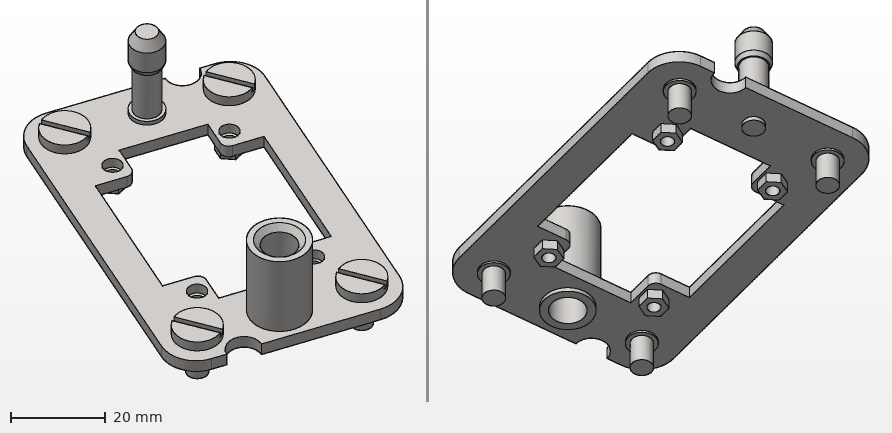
import cadquery as cq
import math

plate_length = 86.0
plate_width = 55.0
plate_thickness = 3.0
corner_radius = 8.0

window_long_length = 51.8
window_long_width = 20.5
window_short_length = 35.0
window_short_width = 39.0
window_tab_radius = 2.0

notch_diameter = 8.0
notch_offset_y = 11.95

nut_offset_x = 22.0
nut_offset_y = 13.5
nut_across_flats = 5.5
nut_across_corners = nut_across_flats / math.cos(math.radians(30))
nut_height = 2.5
nut_bore_diameter = 3.0
nut_recess_diameter = 4.5
nut_recess_depth = 2.5

column_offset_x = 34.5
tail_height = 1.0

pin_height = 22.8
pin_collar_diameter = 8.0
pin_collar_height = 1.0
pin_neck_diameter = 6.4
pin_neck_top = 13.5
pin_undercut_diameter = 7.0
pin_head_diameter = 8.0
pin_head_bottom = 14.7
pin_head_top = 20.2
pin_tip_diameter = 5.0
pin_tail_diameter = 5.0

bushing_height = 19.6
bushing_diameter = 14.0
bushing_bore_diameter = 8.2
bushing_mouth_diameter = 11.0
bushing_mouth_depth = (bushing_mouth_diameter - bushing_bore_diameter) / 2
bushing_tail_diameter = 11.95

screw_offset_y = 19.0
screw_head_diameter = 11.0
screw_head_height = 2.5
screw_slot_width = 1.2
screw_slot_depth = 1.2
screw_slot_angle = 45
screw_shoulder_diameter = 7.0
screw_shoulder_projection = 0.5
screw_shank_diameter = 5.0
screw_length_below_plate = 7.5


def mirrored_points(x, y):
    """The four points at (+-x, +-y)."""
    return [(side_x * x, side_y * y) for side_x in (-1, 1) for side_y in (-1, 1)]


def cylinder(diameter, bottom, top):
    return cq.Workplane("XY").workplane(offset=bottom).circle(diameter / 2).extrude(top - bottom)


def revolve_profile(radius_height_points):
    """Revolve an (r, z) outline around the Z axis."""
    return cq.Workplane("XZ").polyline(radius_height_points).close().revolve(360, (0, 0, 0), (0, 1, 0))


def make_window_cutter():
    long_part = cq.Workplane("XY").rect(window_long_length, window_long_width).extrude(plate_thickness)
    short_part = cq.Workplane("XY").rect(window_short_length, window_short_width).extrude(plate_thickness)
    reach_x = (window_short_length + window_long_length) / 4
    reach_y = (window_short_width + window_long_width) / 4
    tab_corners = cq.selectors.BoxSelector(
        (-reach_x, -reach_y, 0), (reach_x, reach_y, plate_thickness)
    )
    return long_part.union(short_part).edges("|Z").edges(tab_corners).fillet(window_tab_radius)


def make_plate():
    plate = cq.Workplane("XY").rect(plate_length, plate_width).extrude(plate_thickness)
    plate = plate.edges("|Z").fillet(corner_radius)
    plate = plate.cut(make_window_cutter())
    for side in (-1, 1):
        notch = cylinder(notch_diameter, 0, plate_thickness)
        plate = plate.cut(notch.translate((side * plate_length / 2, -side * notch_offset_y, 0)))
    for x, y in mirrored_points(column_offset_x, screw_offset_y):
        plate = plate.cut(cylinder(screw_shoulder_diameter, 0, plate_thickness).translate((x, y, 0)))
    return plate


def add_nuts(frame):
    nut = cq.Workplane("XY").polygon(6, nut_across_corners).extrude(-nut_height)
    bore = cylinder(nut_bore_diameter, -nut_height, plate_thickness)
    recess = cylinder(nut_recess_diameter, plate_thickness - nut_recess_depth, plate_thickness)
    for x, y in mirrored_points(nut_offset_x, nut_offset_y):
        frame = frame.union(nut.translate((x, y, 0)))
        frame = frame.cut(bore.union(recess).translate((x, y, 0)))
    return frame


def make_guide_pin():
    """Headed pin standing on the plate, with a tail through it."""
    pin = revolve_profile([
        (0, 0),
        (pin_collar_diameter / 2, 0),
        (pin_collar_diameter / 2, pin_collar_height),
        (pin_neck_diameter / 2, pin_collar_height),
        (pin_neck_diameter / 2, pin_neck_top),
        (pin_undercut_diameter / 2, pin_neck_top),
        (pin_head_diameter / 2, pin_head_bottom),
        (pin_head_diameter / 2, pin_head_top),
        (pin_tip_diameter / 2, pin_height),
        (0, pin_height),
    ])
    tail = cylinder(pin_tail_diameter, -tail_height - plate_thickness, 0)
    return pin.union(tail).translate((-column_offset_x, 0, plate_thickness))


def add_guide_bushing(frame):
    top = plate_thickness + bushing_height
    sleeve = cylinder(bushing_diameter, plate_thickness, top)
    tail = cylinder(bushing_tail_diameter, -tail_height, plate_thickness)
    bore = revolve_profile([
        (0, -tail_height),
        (bushing_bore_diameter / 2, -tail_height),
        (bushing_bore_diameter / 2, top - bushing_mouth_depth),
        (bushing_mouth_diameter / 2, top),
        (0, top),
    ])
    place = (column_offset_x, 0, 0)
    frame = frame.union(sleeve.union(tail).translate(place))
    return frame.cut(bore.translate(place))


def make_frame():
    frame = add_nuts(make_plate())
    frame = frame.union(make_guide_pin())
    return add_guide_bushing(frame)


def make_screw():
    head_top = plate_thickness + screw_head_height
    screw = cylinder(screw_head_diameter, plate_thickness, head_top)
    screw = screw.union(cylinder(screw_shoulder_diameter, -screw_shoulder_projection, plate_thickness))
    screw = screw.union(cylinder(screw_shank_diameter, -screw_length_below_plate, 0))
    slot = (
        cq.Workplane("XY")
        .workplane(offset=head_top)
        .transformed(rotate=(0, 0, screw_slot_angle))
        .rect(screw_head_diameter, screw_slot_width)
        .extrude(-screw_slot_depth)
    )
    return screw.cut(slot)


frame = make_frame()
screws = [
    make_screw().translate((x, y, 0)).val()
    for x, y in mirrored_points(column_offset_x, screw_offset_y)
]

result = cq.Compound.makeCompound([frame.val(), *screws])